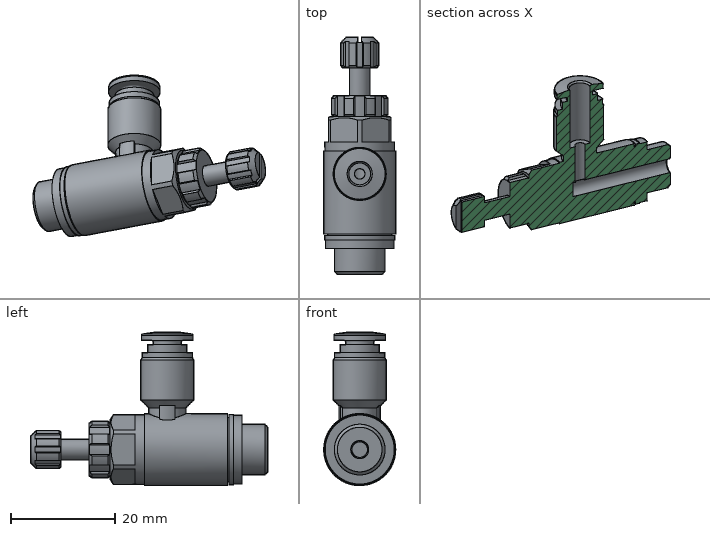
import cadquery as cq
import math


nose_end = 4.95
rim_start = 6.6
rim_end = 7.5
body_start = 7.73
body_end = 23.7
hex_start = 25.4
hex_end = 30.22
ring_end = 34.25
knob_start = 39.6
knob_end = 45.45

nose_radius = 9.73 / 2
nose_chamfer = 0.6
collar_radius = 13.23 / 2
rim_radius = 13.5 / 2
groove_radius = 12.35 / 2
body_radius = 13.8 / 2
shoulder_radius = 13.4 / 2
stem_radius = 4.0 / 2

hex_across_flats = 12.05
hex_cone_radius = 5.73
hex_cone_length = 0.65

flute_count = 8
ring_radius = 11.15 / 2
ring_floor_radius = 10.25 / 2
ring_floor_width = 1.8
ring_mouth_width = 2.55
ring_rear_chamfer = (0.55, 0.5)
ring_front_chamfer = (0.4, 0.55)
knob_radius = 7.45 / 2
knob_floor_radius = 6.85 / 2
knob_floor_width = 1.0
knob_mouth_width = 1.45
knob_rear_chamfer = (1.15, 1.15)
knob_front_chamfer = (0.4, 0.4)
slot_width = 0.7
slot_depth = 1.0

port_y = 19.25
port_top = 22.5
cap_edge_top = 22.15
cap_bottom = 20.9
sleeve_top = 20.1
lip_top = 18.6
lip_bottom = 17.6
barrel_top = 17.15
barrel_bottom = 9.5

cap_radius = 9.9 / 2
cap_edge_drop = 0.25
cap_edge_inset = 0.1
cap_root_fillet = 0.35
cap_neck_radius = 5.4 / 2
sleeve_radius = 7.5 / 2
lip_radius = 9.7 / 2
barrel_radius = 10.2 / 2
port_neck_radius = 7.2 / 2
port_cone_bottom = barrel_bottom - (barrel_radius - port_neck_radius)

key_width = 3.0
key_radius = 8.0 / 2

tube_hole_radius = 4.2 / 2
tube_mouth_radius = 4.8 / 2
tube_mouth_depth = 0.3
passage_radius = 2.0 / 2
bore_radius = 3.0 / 2
bore_mouth_radius = 3.45 / 2
bore_mouth_depth = 0.23
bore_end = port_y + bore_radius


def turned_on_y(profile):
    """Solid of revolution about Y from (radius, y) points."""
    return cq.Workplane("XY").polyline(profile).close().revolve(360, (0, 0, 0), (0, 1, 0))


def turned_on_port(profile):
    """Solid of revolution about the port axis from (radius, z) points."""
    turned = cq.Workplane("XZ").polyline(profile).close().revolve(360, (0, 0, 0), (0, 1, 0))
    return turned.translate((0, port_y, 0))


def make_body():
    return turned_on_y([
        (0, 0),
        (nose_radius - nose_chamfer, 0),
        (nose_radius, nose_chamfer),
        (nose_radius, nose_end),
        (collar_radius, nose_end),
        (collar_radius, rim_start),
        (rim_radius, rim_start),
        (rim_radius, rim_end),
        (groove_radius, rim_end),
        (groove_radius, body_start),
        (body_radius, body_start),
        (body_radius, body_end),
        (shoulder_radius, body_end),
        (shoulder_radius, hex_start),
        (stem_radius, hex_start),
        (stem_radius, knob_start),
        (0, knob_start),
    ])


def make_hexagon():
    """Hexagon with flats facing +X and -X, trimmed by a coned cylinder."""
    corner_diameter = hex_across_flats / math.cos(math.radians(30))
    prism = (
        cq.Workplane("XZ", origin=(0, hex_start, 0))
        .polygon(6, corner_diameter)
        .extrude(hex_start - hex_end)
        .rotate((0, 0, 0), (0, 1, 0), 30)
    )
    envelope = turned_on_y([
        (0, hex_start),
        (shoulder_radius, hex_start),
        (shoulder_radius, hex_end - hex_cone_length),
        (hex_cone_radius, hex_end),
        (0, hex_end),
    ])
    return prism.intersect(envelope)


def make_fluted_grip(start, end, radius, floor_radius, floor_width, mouth_width,
                     front_chamfer, rear_chamfer):
    """Chamfered disc on the Y axis with flutes that widen outward."""
    front_length, front_inset = front_chamfer
    rear_length, rear_inset = rear_chamfer
    grip = turned_on_y([
        (0, start),
        (radius - front_inset, start),
        (radius, start + front_length),
        (radius, end - rear_length),
        (radius - rear_inset, end),
        (0, end),
    ])
    half_floor = floor_width / 2
    floor_edge = math.sqrt(floor_radius**2 - half_floor**2)
    side_slope = (mouth_width - floor_width) / 2 / (radius - floor_radius)
    cut_height = 2 * radius - floor_radius
    half_cut = half_floor + side_slope * (cut_height - floor_radius)
    flute = (
        cq.Workplane("XZ", origin=(0, start, 0))
        .moveTo(-half_floor, floor_edge)
        .threePointArc((0, floor_radius), (half_floor, floor_edge))
        .lineTo(half_cut, cut_height)
        .lineTo(-half_cut, cut_height)
        .close()
        .extrude(start - end)
    )
    for index in range(flute_count):
        grip = grip.cut(flute.rotate((0, 0, 0), (0, 1, 0), index * 360 / flute_count))
    return grip


def make_lock_ring():
    return make_fluted_grip(
        hex_end, ring_end, ring_radius, ring_floor_radius, ring_floor_width,
        ring_mouth_width, ring_front_chamfer, ring_rear_chamfer,
    )


def make_knob():
    knob = make_fluted_grip(
        knob_start, knob_end, knob_radius, knob_floor_radius, knob_floor_width,
        knob_mouth_width, knob_front_chamfer, knob_rear_chamfer,
    )
    slot = cq.Workplane("XY").box(slot_width, 2 * slot_depth, 2 * knob_radius)
    return knob.cut(slot.translate((0, knob_end, 0)))


def make_port():
    """Barrel, release sleeve and cap of the tube port."""
    fillet_centre_radius = cap_neck_radius + cap_root_fillet
    fillet_centre_z = cap_bottom - cap_root_fillet
    fillet_middle = cap_root_fillet * math.cos(math.radians(45))
    profile = (
        cq.Workplane("XZ")
        .polyline([
            (0, 0),
            (port_neck_radius, 0),
            (port_neck_radius, port_cone_bottom),
            (barrel_radius, barrel_bottom),
            (barrel_radius, barrel_top),
            (lip_radius, lip_bottom),
            (lip_radius, lip_top),
            (sleeve_radius, lip_top),
            (sleeve_radius, sleeve_top),
            (cap_neck_radius, sleeve_top),
            (cap_neck_radius, fillet_centre_z),
        ])
        .threePointArc(
            (fillet_centre_radius - fillet_middle, fillet_centre_z + fillet_middle),
            (fillet_centre_radius, cap_bottom),
        )
        .lineTo(cap_radius, cap_bottom)
        .lineTo(cap_radius, cap_edge_top - cap_edge_drop)
        .lineTo(cap_radius - cap_edge_inset, cap_edge_top)
        .lineTo(tube_mouth_radius, port_top)
        .lineTo(0, port_top)
        .close()
    )
    return profile.revolve(360, (0, 0, 0), (0, 1, 0)).translate((0, port_y, 0))


def make_port_keys():
    """Round-faced keys on the +X and -X sides of the port neck."""
    key_disc = cq.Workplane("XY").circle(key_radius).extrude(barrel_bottom)
    key_bar = cq.Workplane("XY").rect(2 * key_radius, key_width).extrude(barrel_bottom)
    return key_disc.intersect(key_bar).translate((0, port_y, 0))


def make_tube_hole():
    """Stepped hole down the port, opening into the main bore."""
    return turned_on_port([
        (0, 0),
        (passage_radius, 0),
        (passage_radius, barrel_bottom),
        (tube_hole_radius, barrel_bottom),
        (tube_hole_radius, port_top - tube_mouth_depth),
        (tube_mouth_radius, port_top),
        (0, port_top),
    ])


def make_bore():
    """Blind hole from the nose face, ending just behind the port axis."""
    return turned_on_y([
        (0, 0),
        (bore_mouth_radius, 0),
        (bore_radius, bore_mouth_depth),
        (bore_radius, bore_end),
        (0, bore_end),
    ])


result = (
    make_body()
    .union(make_hexagon())
    .union(make_lock_ring())
    .union(make_knob())
    .union(make_port())
    .union(make_port_keys())
    .cut(make_tube_hole())
    .cut(make_bore())
)